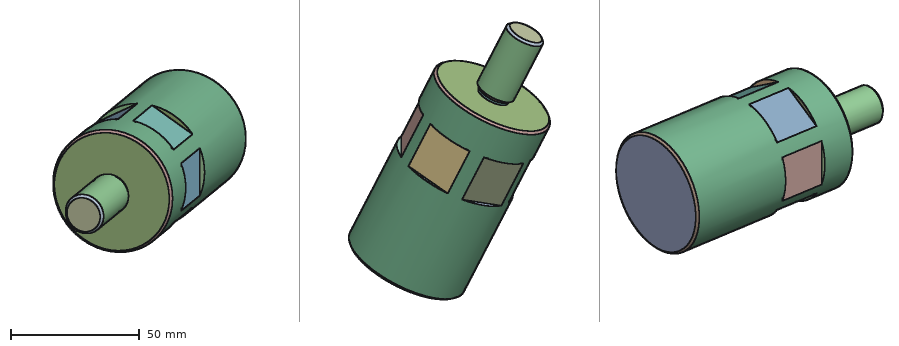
import cadquery as cq

total_length = 110.0
body_length = 80.0
body_diameter = 50.0
body_chamfer = 1.0

stud_diameter = 16.0
stud_tip_diameter = 13.9
groove_diameter = 13.0
groove_width = 1.0

across_flats = 46.1
flats_width = 20.0
flats_offset = 15.0
flat_count = 6

stud_length = total_length - body_length
stud_tip_y = -total_length / 2
body_front_y = stud_tip_y + stud_length
body_back_y = total_length / 2
body_radius = body_diameter / 2
stud_radius = stud_diameter / 2
tip_chamfer = (stud_diameter - stud_tip_diameter) / 2
groove_radius = groove_diameter / 2
groove_taper = stud_radius - groove_radius


def make_turned_part():
    """Revolve the half profile of the body, groove and stud about Y."""
    groove_end_y = body_front_y - groove_width
    profile = [
        (0, stud_tip_y),
        (stud_radius - tip_chamfer, stud_tip_y),
        (stud_radius, stud_tip_y + tip_chamfer),
        (stud_radius, groove_end_y - groove_taper),
        (groove_radius, groove_end_y),
        (groove_radius, body_front_y),
        (body_radius - body_chamfer, body_front_y),
        (body_radius, body_front_y + body_chamfer),
        (body_radius, body_back_y - body_chamfer),
        (body_radius - body_chamfer, body_back_y),
        (0, body_back_y),
    ]
    return cq.Workplane("XY").polyline(profile).close().revolve(360, (0, 0), (0, 1))


def make_flat_cutter(angle):
    """Block that leaves one wrench flat, turned about Y; angle 0 faces +X."""
    return (
        cq.Workplane("XY")
        .box(body_radius, flats_width, body_diameter, centered=(False, False, True))
        .translate((across_flats / 2, body_front_y + flats_offset, 0))
        .rotate((0, 0, 0), (0, 1, 0), angle)
    )


result = make_turned_part()
for index in range(flat_count):
    result = result.cut(make_flat_cutter(index * 360 / flat_count))